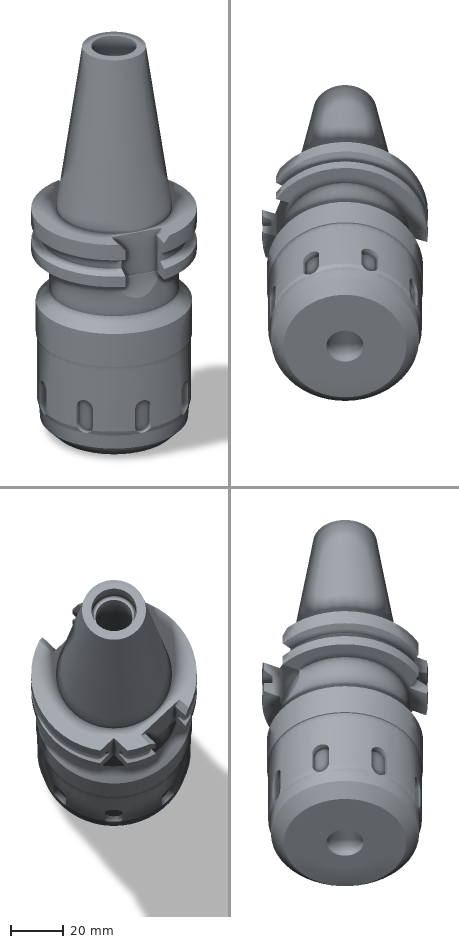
import cadquery as cq


GAUGE_RADIUS = 44.45 / 2
TAPER_LENGTH = 68.4
TAPER_RATIO = 7 / 24
TAPER_TOP_RADIUS = GAUGE_RADIUS - TAPER_LENGTH * TAPER_RATIO / 2

BORE_RADIUS = 7.1
COUNTERBORE_RADIUS = 8.7
COUNTERBORE_DEPTH = 8.0

FLANGE_RADIUS = 63.55 / 2
FLANGE_TOP_Z = -1.0
FLANGE_BOTTOM_Z = -19.1
GROOVE_CENTRE_Z = -11.1
GROOVE_OPENING = 7.0
GROOVE_ROOT_WIDTH = 3.8
GROOVE_ROOT_RADIUS = 56.25 / 2

DRIVE_SLOT_WIDTH = 16.1
DRIVE_SLOT_CHAMFER = 2.5
SHALLOW_SLOT_FLOOR_X = 25.0
DEEP_SLOT_FLOOR_X = 22.8
RUNOUT_RADIUS = 48.0
RUNOUT_CENTRE_Z = -14.0

NOTCH_OFFSET = 18.5

NECK_RADIUS = 24.9
NECK_BOTTOM_Z = -35.0
BODY_RADIUS = 30.0
BODY_CONE_HEIGHT = BODY_RADIUS - NECK_RADIUS
BODY_BOTTOM_Z = -54.2

NUT_RADIUS = 29.5
NUT_BAND_BOTTOM_Z = -82.3
NUT_STEP_Z = -84.2
NUT_STEP_RADIUS = 28.85
NUT_NOSE_RADIUS = 28.4
BOTTOM_Z = -95.0
NOSE_CHAMFER = 4.9

SPANNER_SLOT_COUNT = 8
SPANNER_SLOT_WIDTH = 6.7
SPANNER_SLOT_LENGTH = 14.2
SPANNER_SLOT_CENTRE_Z = -77.0
SPANNER_SLOT_FLOOR_RADIUS = 26.7


def make_revolved_body():
    """Outer profile turned about Z, from the taper tip down to the nose."""
    groove_top = GROOVE_CENTRE_Z + GROOVE_OPENING / 2
    groove_bottom = GROOVE_CENTRE_Z - GROOVE_OPENING / 2
    root_top = GROOVE_CENTRE_Z + GROOVE_ROOT_WIDTH / 2
    root_bottom = GROOVE_CENTRE_Z - GROOVE_ROOT_WIDTH / 2
    profile = [
        (0, TAPER_LENGTH),
        (TAPER_TOP_RADIUS, TAPER_LENGTH),
        (GAUGE_RADIUS, 0),
        (GAUGE_RADIUS, FLANGE_TOP_Z),
        (FLANGE_RADIUS, FLANGE_TOP_Z),
        (FLANGE_RADIUS, groove_top),
        (GROOVE_ROOT_RADIUS, root_top),
        (GROOVE_ROOT_RADIUS, root_bottom),
        (FLANGE_RADIUS, groove_bottom),
        (FLANGE_RADIUS, FLANGE_BOTTOM_Z),
        (NECK_RADIUS, FLANGE_BOTTOM_Z),
        (NECK_RADIUS, NECK_BOTTOM_Z),
        (BODY_RADIUS, NECK_BOTTOM_Z - BODY_CONE_HEIGHT),
        (BODY_RADIUS, BODY_BOTTOM_Z),
        (NUT_RADIUS, BODY_BOTTOM_Z),
        (NUT_RADIUS, NUT_BAND_BOTTOM_Z),
        (NUT_STEP_RADIUS, NUT_STEP_Z),
        (NUT_NOSE_RADIUS, BOTTOM_Z + NOSE_CHAMFER),
        (NUT_NOSE_RADIUS - NOSE_CHAMFER, BOTTOM_Z),
        (0, BOTTOM_Z),
    ]
    return cq.Workplane("XZ").polyline(profile).close().revolve(360, (0, 0), (0, 1))


def make_bore():
    """Through bore with a counterbore at the taper tip."""
    taper_tip = cq.Workplane("XY", origin=(0, 0, TAPER_LENGTH))
    through = taper_tip.circle(BORE_RADIUS).extrude(BOTTOM_Z - TAPER_LENGTH)
    counterbore = taper_tip.circle(COUNTERBORE_RADIUS).extrude(-COUNTERBORE_DEPTH)
    return through.union(counterbore)


def make_drive_slot(floor_x):
    """Slot on the +X side, open outward, with both top edges chamfered."""
    half_width = DRIVE_SLOT_WIDTH / 2
    half_mouth = half_width + DRIVE_SLOT_CHAMFER
    outline = [
        (-half_width, FLANGE_BOTTOM_Z),
        (half_width, FLANGE_BOTTOM_Z),
        (half_width, FLANGE_TOP_Z - DRIVE_SLOT_CHAMFER),
        (half_mouth, FLANGE_TOP_Z),
        (-half_mouth, FLANGE_TOP_Z),
        (-half_width, FLANGE_TOP_Z - DRIVE_SLOT_CHAMFER),
    ]
    return cq.Workplane("YZ", origin=(floor_x, 0, 0)).polyline(outline).close().extrude(FLANGE_RADIUS)


def make_deep_slot_runout():
    """Rounded end of the deep slot, running out through the neck surface."""
    return (
        cq.Workplane("XZ")
        .center(DEEP_SLOT_FLOOR_X + RUNOUT_RADIUS, RUNOUT_CENTRE_Z)
        .circle(RUNOUT_RADIUS)
        .extrude(DRIVE_SLOT_WIDTH / 2, both=True)
    )


def make_notch():
    """Square corner notch through the full flange thickness."""
    return (
        cq.Workplane("XY", origin=(0, 0, FLANGE_BOTTOM_Z))
        .moveTo(-NOTCH_OFFSET, NOTCH_OFFSET)
        .rect(-FLANGE_RADIUS, FLANGE_RADIUS, centered=False)
        .extrude(FLANGE_TOP_Z - FLANGE_BOTTOM_Z)
    )


def make_spanner_slot(angle):
    """Flat-floored upright slot with round ends, cut inward into the nut."""
    slot = (
        cq.Workplane("YZ", origin=(SPANNER_SLOT_FLOOR_RADIUS, 0, SPANNER_SLOT_CENTRE_Z))
        .slot2D(SPANNER_SLOT_LENGTH, SPANNER_SLOT_WIDTH, 90)
        .extrude(BODY_RADIUS - SPANNER_SLOT_FLOOR_RADIUS)
    )
    return slot.rotate((0, 0, 0), (0, 0, 1), angle)


shallow_slot = make_drive_slot(SHALLOW_SLOT_FLOOR_X).rotate((0, 0, 0), (0, 0, 1), 180)
deep_slot = make_drive_slot(DEEP_SLOT_FLOOR_X)

result = make_revolved_body().cut(make_bore())
result = result.cut(shallow_slot)
result = result.cut(deep_slot)
result = result.cut(make_deep_slot_runout())
result = result.cut(make_notch())
for index in range(SPANNER_SLOT_COUNT):
    result = result.cut(make_spanner_slot(index * 360 / SPANNER_SLOT_COUNT))